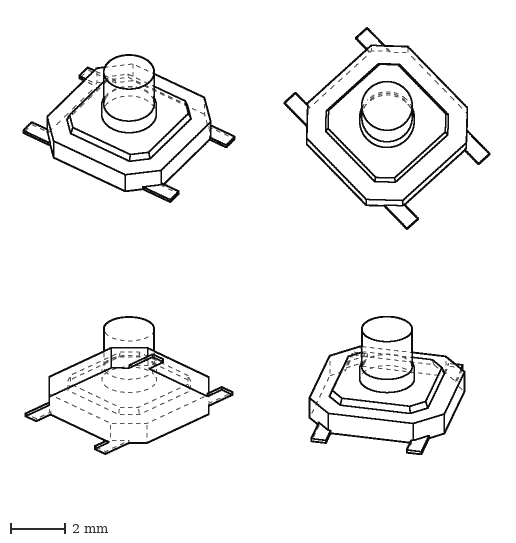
import cadquery as cq

housing_side = 5.1
housing_height = 0.835
housing_corner_cut = 0.95

cover_side = 3.72
cover_height = 0.25
cover_corner_cut = 0.54
cover_taper_angle = 20.0

collar_diameter = 2.01
collar_height = 0.51
stem_diameter = 1.855
overall_height = 3.2
collar_rim_radius = 0.07

terminal_span = 6.58
terminal_width = 0.56
terminal_thickness = 0.12
terminal_pitch = 3.605

cover_top = housing_height + cover_height


def cut_corner_square(side, corner_cut):
    """Corner points of a centred square with 45 degree cut corners."""
    outer = side / 2
    inner = outer - corner_cut
    return [
        (outer, -inner), (outer, inner),
        (inner, outer), (-inner, outer),
        (-outer, inner), (-outer, -inner),
        (-inner, -outer), (inner, -outer),
    ]


def make_housing():
    outline = cut_corner_square(housing_side, housing_corner_cut)
    return cq.Workplane("XY").polyline(outline).close().extrude(housing_height)


def make_cover():
    outline = cut_corner_square(cover_side, cover_corner_cut)
    return (
        cq.Workplane("XY", origin=(0, 0, housing_height))
        .polyline(outline).close()
        .extrude(cover_height, taper=cover_taper_angle)
    )


def make_plunger():
    collar = (
        cq.Workplane("XY", origin=(0, 0, cover_top))
        .circle(collar_diameter / 2)
        .extrude(collar_height)
        .faces(">Z").edges().fillet(collar_rim_radius)
    )
    stem = (
        cq.Workplane("XY", origin=(0, 0, cover_top))
        .circle(stem_diameter / 2)
        .extrude(overall_height - cover_top)
    )
    return collar.union(stem)


def make_terminals():
    return (
        cq.Workplane("XY")
        .pushPoints([(0, -terminal_pitch / 2), (0, terminal_pitch / 2)])
        .rect(terminal_span, terminal_width)
        .extrude(terminal_thickness)
    )


result = make_housing().union(make_cover()).union(make_plunger()).union(make_terminals())